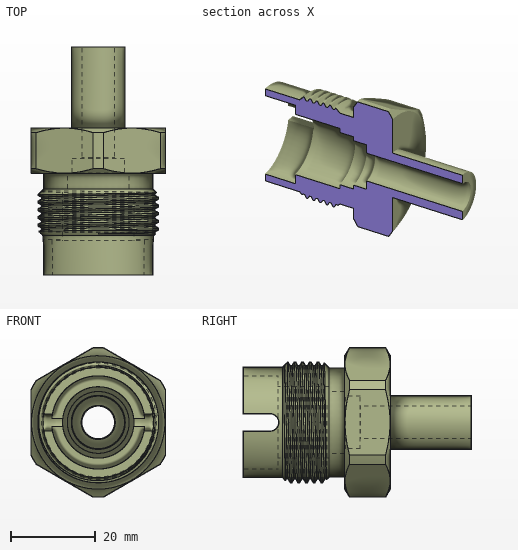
import cadquery as cq
import math


SKIRT_LENGTH = 9.3
THREAD_LENGTH = 11.0
NECK_LENGTH = 3.65
HEX_LENGTH = 10.8
TUBE_LENGTH = 19.1

THREAD_START = SKIRT_LENGTH
THREAD_END = THREAD_START + THREAD_LENGTH
HEX_START = THREAD_END + NECK_LENGTH
HEX_END = HEX_START + HEX_LENGTH
TOTAL_LENGTH = HEX_END + TUBE_LENGTH

SKIRT_RADIUS = 13.05
NECK_RADIUS = 12.9
TUBE_RADIUS = 6.35

HEX_ACROSS_FLATS = 31.75
HEX_ACROSS_CORNERS = 35.31
HEX_CORNER_RADIUS = HEX_ACROSS_CORNERS / 2
HEX_HALF_ANGLE = 180 / 6
HEX_FACE_RADIUS = 15.75
HEX_CHAMFER_LENGTH = 1.15

THREAD_RADIUS = 14.25
THREAD_PITCH = 25.4 / 14
THREAD_ROOT_RADIUS = 13.38
THREAD_ROOT_WIDTH = 0.42
THREAD_ANGLE = 60
FLANK_SLOPE = math.tan(math.radians(THREAD_ANGLE / 2))
GROOVE_OVERCUT = 0.5
GROOVE_START = 9.5

SKIRT_BORE_RADIUS = 11.0
SKIRT_BORE_DEPTH = 8.18
MIDDLE_BORE_RADIUS = 8.43
INNER_BORE_RADIUS = 7.3
BORE_STEPS = (
    (SKIRT_BORE_RADIUS, SKIRT_BORE_DEPTH),
    (MIDDLE_BORE_RADIUS, THREAD_END),
    (INNER_BORE_RADIUS, HEX_START),
)

SOCKET_RADIUS = 6.2
SOCKET_DEPTH = HEX_START + HEX_LENGTH / 3
HOLE_RADIUS = 3.85
MOUTH_CHAMFER = 0.18

SLOT_WIDTH = 4.06
SLOT_DEPTH = 8.4


def cylinder(radius, start, end):
    """Solid cylinder on the Y axis between two Y positions."""
    return cq.Workplane("XZ", origin=(0, start, 0)).circle(radius).extrude(start - end)


def revolved(points):
    """Turned solid from an outline of (radius, Y) points."""
    return cq.Workplane("XY").polyline(points).close().revolve(360, (0, 0, 0), (0, 1, 0))


def hexagon():
    """Hexagon with two flats square to X, trimmed by a turned envelope."""
    corner_diameter = HEX_ACROSS_FLATS / math.cos(math.radians(HEX_HALF_ANGLE))
    prism = (
        cq.Workplane("XZ", origin=(0, HEX_START, 0))
        .polygon(6, corner_diameter)
        .extrude(-HEX_LENGTH)
        .rotate((0, 0, 0), (0, 1, 0), HEX_HALF_ANGLE)
    )
    envelope = revolved([
        (0, HEX_START),
        (HEX_FACE_RADIUS, HEX_START),
        (HEX_CORNER_RADIUS, HEX_START + HEX_CHAMFER_LENGTH),
        (HEX_CORNER_RADIUS, HEX_END - HEX_CHAMFER_LENGTH),
        (HEX_FACE_RADIUS, HEX_END),
        (0, HEX_END),
    ])
    return prism.intersect(envelope)


def thread_blank():
    """Thread cylinder with 45 degree chamfers down to the skirt and the neck."""
    return revolved([
        (0, THREAD_START),
        (SKIRT_RADIUS, THREAD_START),
        (THREAD_RADIUS, THREAD_START + THREAD_RADIUS - SKIRT_RADIUS),
        (THREAD_RADIUS, THREAD_END - (THREAD_RADIUS - NECK_RADIUS)),
        (NECK_RADIUS, THREAD_END),
        (0, THREAD_END),
    ])


def thread_groove():
    """Helical flat-root groove that starts in the skirt-side chamfer and runs out past the neck end."""
    outer_radius = THREAD_RADIUS + GROOVE_OVERCUT
    root_half = THREAD_ROOT_WIDTH / 2
    outer_half = root_half + (outer_radius - THREAD_ROOT_RADIUS) * FLANK_SLOPE
    turns = math.ceil((THREAD_END - GROOVE_START) / THREAD_PITCH) + 1
    helix = cq.Wire.makeHelix(THREAD_PITCH, turns * THREAD_PITCH, THREAD_ROOT_RADIUS)
    groove = (
        cq.Workplane("XZ")
        .polyline([
            (THREAD_ROOT_RADIUS, -root_half),
            (outer_radius, -outer_half),
            (outer_radius, outer_half),
            (THREAD_ROOT_RADIUS, root_half),
        ])
        .close()
        .sweep(cq.Workplane(helix), isFrenet=True)
    )
    starting_at_z = groove.rotate((0, 0, 0), (0, 0, 1), -90).rotate((0, 0, 0), (1, 0, 0), -90)
    return starting_at_z.translate((0, GROOVE_START, 0))


def threaded_rod():
    """Plain threaded rod, longer than the thread so that its chamfered blank lies inside it."""
    rod = cylinder(THREAD_RADIUS, THREAD_START - THREAD_PITCH, THREAD_END + 2 * THREAD_PITCH)
    return rod.cut(thread_groove())


def stepped_bore():
    """Turned cutter that narrows in steps from the skirt to the tube hole."""
    outline = [(0, 0)]
    start = 0
    for radius, end in BORE_STEPS:
        outline += [(radius, start), (radius, end)]
        start = end
    outline += [
        (SOCKET_RADIUS + MOUTH_CHAMFER, start),
        (SOCKET_RADIUS, start + MOUTH_CHAMFER),
        (SOCKET_RADIUS, SOCKET_DEPTH),
        (HOLE_RADIUS + MOUTH_CHAMFER, SOCKET_DEPTH),
        (HOLE_RADIUS, SOCKET_DEPTH + MOUTH_CHAMFER),
        (HOLE_RADIUS, TOTAL_LENGTH),
        (0, TOTAL_LENGTH),
    ]
    return revolved(outline)


def skirt_slots():
    """Round-ended slot cutter crossing the whole skirt along X."""
    half_width = SLOT_WIDTH / 2
    straight = SLOT_DEPTH - half_width
    return (
        cq.Workplane("YZ")
        .moveTo(0, -half_width)
        .lineTo(straight, -half_width)
        .threePointArc((SLOT_DEPTH, 0), (straight, half_width))
        .lineTo(0, half_width)
        .close()
        .extrude(THREAD_RADIUS, both=True)
    )


threaded_collar = threaded_rod().intersect(thread_blank())
body = (
    cylinder(SKIRT_RADIUS, 0, THREAD_START)
    .union(threaded_collar)
    .union(cylinder(NECK_RADIUS, THREAD_END, HEX_START))
    .union(hexagon())
    .union(cylinder(TUBE_RADIUS, HEX_END, TOTAL_LENGTH))
)
result = body.cut(stepped_bore()).cut(skirt_slots())